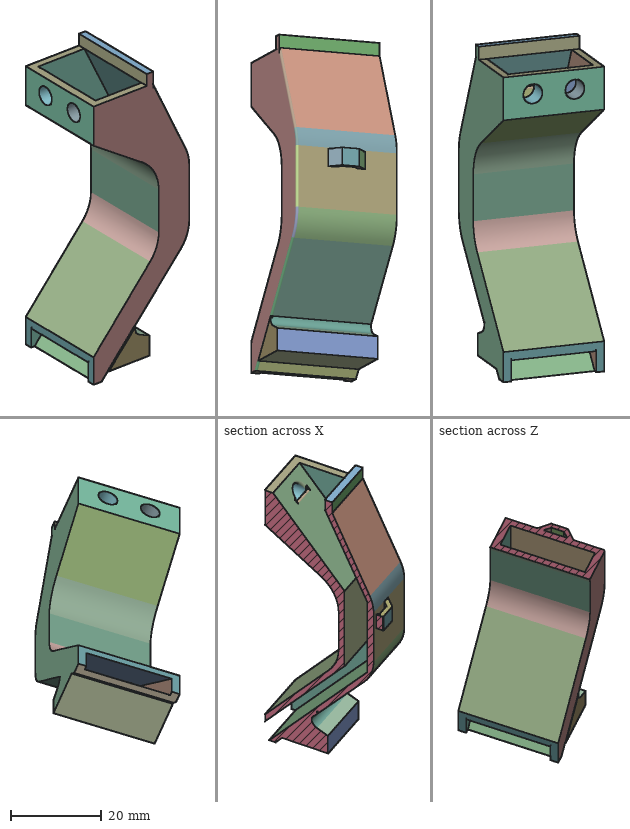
import cadquery as cq
import math

body_width = 24.0
plate_thickness = 1.9
rim_height = 70.5
flange_height = 73.5
flange_front = 15.2
flange_back = 17.1

arm_front = 18.6
arm_back = 27.6
upper_bend_z = 48.5
lower_bend_z = 28.5
bend_radius = 10.0
head_bottom_z = 60.6
lip_top_z = 7.0
foot_back = 2.7

channel_front = 20.2
channel_back = 25.9
front_wall = 2.1
lip_height = 2.1
foot_channel_back = 1.0
leg_slope = (lower_bend_z - lip_top_z) / arm_front

hole_diameter = 4.5
hole_depth = 5.2
hole_offset_x = 5.0
hole_z = 66.0

loop_back = 30.0
loop_bottom_z = 42.0
loop_height = 4.0
loop_top_half_width = 2.0
loop_thickness = 1.2
loop_hole_half_width = 1.5

hook_back = 16.0
hook_bottom_z = 1.9
hook_tip_z = 7.0
hook_arc_start = (13.25, 8.15)
hook_arc_middle = (12.05, 9.4)
hook_arc_end_y = 11.95

edge_fillet = 0.5


def extrude_across(outline, width):
    """Extrude a closed YZ outline by half the width to each side of its plane."""
    return outline.extrude(width / 2, both=True)


def back_leg_z(y):
    """Height of the leg's back face at a given Y."""
    return lower_bend_z * (y - foot_back) / (arm_back - foot_back)


def make_body():
    outline = cq.Workplane("YZ").polyline([
        (0, 0),
        (0, lip_top_z),
        (arm_front, lower_bend_z),
        (arm_front, upper_bend_z),
        (0, head_bottom_z),
        (0, rim_height),
        (flange_front, rim_height),
        (flange_front, flange_height),
        (flange_back, flange_height),
        (flange_back, rim_height),
        (arm_back, upper_bend_z),
        (arm_back, lower_bend_z),
        (foot_back, 0),
    ]).close()
    body = extrude_across(outline, body_width)
    for y in (arm_front, arm_back):
        for z in (lower_bend_z, upper_bend_z):
            bend = cq.selectors.NearestToPointSelector((0, y, z))
            body = body.edges("|X").edges(bend).fillet(bend_radius)
    return body


def make_channel():
    ramp_bottom_z = rim_height - leg_slope * (channel_front - front_wall)
    lip_bottom_z = lip_top_z - lip_height
    outline = cq.Workplane("YZ").polyline([
        (front_wall, rim_height),
        (channel_front, ramp_bottom_z),
        (channel_front, lip_bottom_z + leg_slope * channel_front),
        (0, lip_bottom_z),
        (0, 0),
        (foot_channel_back, 0),
        (channel_back, leg_slope * (channel_back - foot_channel_back)),
        (channel_back, upper_bend_z),
        (flange_front, rim_height),
    ]).close()
    return extrude_across(outline, body_width - 2 * plate_thickness)


def make_hole(x):
    return (
        cq.Workplane("XZ")
        .center(x, hole_z)
        .circle(hole_diameter / 2)
        .extrude(-hole_depth)
    )


def make_loop():
    rise = loop_back - arm_back
    base_half_width = loop_top_half_width + rise
    hole_rise = rise - loop_thickness
    hole_base_half_width = loop_hole_half_width + hole_rise
    hole_top = arm_back + hole_rise
    return (
        cq.Workplane("XY", origin=(0, 0, loop_bottom_z))
        .polyline([
            (-base_half_width, arm_back),
            (-loop_top_half_width, loop_back),
            (loop_top_half_width, loop_back),
            (base_half_width, arm_back),
            (hole_base_half_width, arm_back),
            (loop_hole_half_width, hole_top),
            (-loop_hole_half_width, hole_top),
            (-hole_base_half_width, arm_back),
        ])
        .close()
        .extrude(loop_height)
    )


def make_hook():
    foot_y = foot_back + hook_bottom_z * (arm_back - foot_back) / lower_bend_z
    outline = (
        cq.Workplane("YZ")
        .moveTo(foot_y, hook_bottom_z)
        .lineTo(hook_back, hook_bottom_z)
        .lineTo(hook_back, hook_tip_z)
        .lineTo(*hook_arc_start)
        .threePointArc(hook_arc_middle, (hook_arc_end_y, back_leg_z(hook_arc_end_y)))
        .close()
    )
    return extrude_across(outline, body_width)


def round_hole_mouth(body, x):
    """Round the mouth of a screw hole: its curved rim, then the straight edge at its blind end."""
    radius = hole_diameter / 2
    mouth = cq.selectors.BoxSelector(
        (x - radius, front_wall, hole_z),
        (x + radius, hole_depth, hole_z + radius),
    )
    body = body.edges(mouth).edges("%ELLIPSE").fillet(edge_fillet)

    corner_z = rim_height - leg_slope * (hole_depth - front_wall)
    wedge_angle = math.pi / 2 - math.atan(leg_slope)
    tangent_length = edge_fillet / math.tan(wedge_angle / 2)
    arc_start = (hole_depth, corner_z - tangent_length)
    arc_end = (
        hole_depth + tangent_length * math.sin(wedge_angle),
        corner_z - tangent_length * math.cos(wedge_angle),
    )
    middle_distance = edge_fillet / math.sin(wedge_angle / 2) - edge_fillet
    arc_middle = (
        hole_depth + middle_distance * math.sin(wedge_angle / 2),
        corner_z - middle_distance * math.cos(wedge_angle / 2),
    )
    corner_waste = (
        cq.Workplane("YZ", origin=(x, 0, 0))
        .moveTo(hole_depth, corner_z)
        .lineTo(*arc_start)
        .threePointArc(arc_middle, arc_end)
        .close()
    )
    return body.cut(extrude_across(corner_waste, hole_diameter + 2 * edge_fillet))


def round_back_edge(body):
    """Round the +X edge of the back, along its tangent run from the head down to the foot."""
    head_middle = (
        body_width / 2,
        (flange_back + arm_back) / 2,
        (rim_height + upper_bend_z) / 2,
    )
    return body.edges(cq.selectors.NearestToPointSelector(head_middle)).fillet(edge_fillet)


body = round_back_edge(make_body()).cut(make_channel())
for hole_x in (-hole_offset_x, hole_offset_x):
    body = body.cut(make_hole(hole_x))
body = round_hole_mouth(body, -hole_offset_x)
result = body.union(make_loop()).union(make_hook())